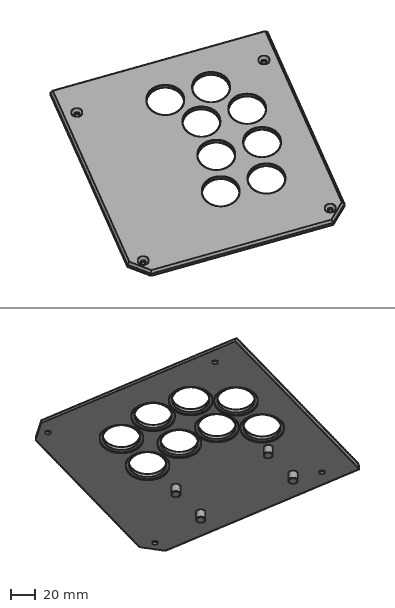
import cadquery as cq

length = 200.0
width = 185.0
total_height = 13.0
thickness = 5.0
corner_cut = 15.0
edge_bevel = 2.0

button_diameter = 30.0
button_bevel = 0.5
button_wall = 3.5
button_relief_diameter = 35.2
button_pitch = 39.0
button_columns = [(39.0, 84.0), (69.5, 104.0), (105.2, 104.0), (141.2, 95.0)]

screw_spacing = 159.5
screw_left_x = 27.5
screw_diameter = 4.5
screw_head_diameter = 9.0
screw_head_angle = 90

standoff_diameter = 7.5
standoff_length = total_height - thickness
standoff_bevel = 0.5
standoff_x = (47.8, 135.8)
standoff_y = (24.2, 61.2)


def make_plate():
    """Plate with two cut corners; every top edge but the left one is bevelled."""
    plate = cq.Workplane("XY").box(length, width, thickness, centered=False)
    plate = plate.edges("|Z and >X").chamfer(corner_cut)
    return plate.faces(">Z").edges("not(<X)").chamfer(edge_bevel)


def make_button_cutter():
    """Round hole with a bevelled upper rim and a wider relief under the plate."""
    radius = button_diameter / 2
    hole = cq.Workplane("XY").circle(radius).extrude(thickness)
    bevel = (
        cq.Workplane("XY")
        .workplane(offset=thickness)
        .circle(radius + button_bevel)
        .workplane(offset=-button_bevel)
        .circle(radius)
        .loft()
    )
    relief = cq.Workplane("XY").circle(button_relief_diameter / 2).extrude(thickness - button_wall)
    return hole.union(bevel).union(relief)


def cut_buttons(plate):
    cutter = make_button_cutter()
    for x, lower_y in button_columns:
        for y in (lower_y, lower_y + button_pitch):
            plate = plate.cut(cutter.translate((x, y, 0)))
    return plate


def cut_screw_holes(plate):
    """Four countersunk through holes."""
    lower_y = (width - screw_spacing) / 2
    centers = []
    for x in (screw_left_x, screw_left_x + screw_spacing):
        centers.append((x, lower_y))
        centers.append((x, lower_y + screw_spacing))
    top = plate.faces(">Z").workplane(origin=(0, 0, thickness))
    return top.pushPoints(centers).cskHole(screw_diameter, screw_head_diameter, screw_head_angle)


def make_standoffs():
    """Four round standoffs with bevelled lower rims."""
    centers = [(x, y) for x in standoff_x for y in standoff_y]
    posts = cq.Workplane("XY").pushPoints(centers).circle(standoff_diameter / 2).extrude(-standoff_length)
    return posts.faces("<Z").edges().chamfer(standoff_bevel)


result = cut_screw_holes(cut_buttons(make_plate())).union(make_standoffs())